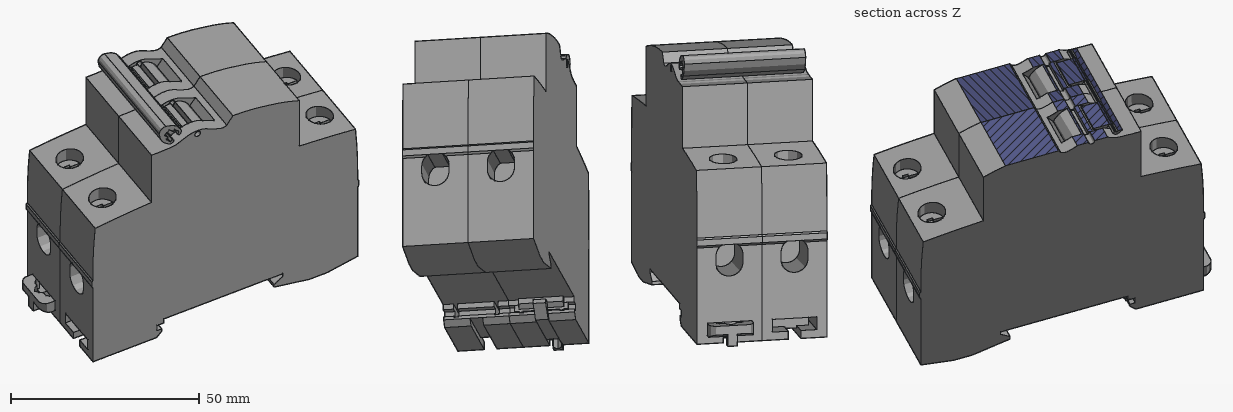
import cadquery as cq
import math


pole_width = 17.7
pole_centres = (-pole_width / 2, pole_width / 2)

body_half_depth = 40.4
body_corner_z = 1.7
flank_top_z = 31.5
shoulder_half_depth = 39.7
shoulder_edge_z = 47.65
shoulder_mid_z = 48.6
tower_half_depth = 22.55
tower_base_z = 49.3
rail_seat_z = 5.7

rib_height = 0.3
rib_bottom_z = 26.5
rib_top_z = 29.2
rib_bottom_chamfer = 0.6
rib_top_chamfer = 0.4

hole_radius = 3.7
wire_hole_low_z = 21.95
wire_hole_high_z = 24.0
wire_hole_depth = 10.2
screw_places_y = (-32.5, 33.8)
screw_top_z = 44.6
screw_length = 6.8
screw_slot_width = 1.5
screw_cross_length = 3.0
screw_slot_depth = 0.85

hub_y = -8.5
hub_z = 61.7
hub_radius = 6.0
hub_width = 10.2
pin_hole_y = -8.4
pin_hole_z = 67.6
pin_hole_radius = 0.85
arm_width = 9.0
arm_half_thickness = 1.0
lever_reach = 11.2
lever_angle = math.radians(47)
bar_length = 33.0
bar_tip_u = 4.0
bar_flat_u = -2.9
tee_tip_u = 1.4
tee_shoulder_u = -0.2
tee_lip_u = -2.0
tee_half_width = 1.8

slot_width = 12.1
slot_floor_z = 2.2
pocket_back_y = -body_half_depth + 5.1
clip_arm_width = 1.1
channel_width = 3.4
channel_top_z = 1.6
groove_back_y = -20.85
groove_bottom_z = 2.5
groove_top_z = 4.25
rail_wall_y = -18.8
lip_y = -19.4
clip_head_y = -17.8
key_width = 14.5
key_corner_radius = 1.7
handle_front_y = -44.3
handle_slope_start_y = -42.0
handle_slope_end_z = 3.3
handle_corner_radius = 2.1
tab_width = 2.55
tab_back_y = -42.2
tab_corner_radius = 0.85


def side_prism(points, centre_x, width):
    """Prism across X from a closed (Y, Z) polygon."""
    return cq.Workplane("YZ", origin=(centre_x - width / 2, 0, 0)).polyline(points).close().extrude(width)


def block(x0, x1, y0, y1, z0, z1):
    """Box between two opposite corners."""
    return cq.Workplane("XY").box(x1 - x0, y1 - y0, z1 - z0, centered=False).translate((x0, y0, z0))


def side_cylinder(centre_x, width, y, z, radius):
    """Cylinder with its axis along X."""
    return cq.Workplane("YZ", origin=(centre_x - width / 2, y, z)).circle(radius).extrude(width)


def lever_plane(start_x):
    """Plane at the bar axis: local x points outwards along the lever, local y to its underside."""
    reach_y = lever_reach * math.cos(lever_angle)
    reach_z = lever_reach * math.sin(lever_angle)
    return cq.Plane(
        origin=(start_x, hub_y - reach_y, hub_z + reach_z),
        xDir=(0, -reach_y, reach_z),
        normal=(1, 0, 0),
    )


def housing_profile(start_x):
    """Side outline, going round from the bottom of the -Y end."""
    return (
        cq.Workplane("YZ", origin=(start_x, 0, 0))
        .moveTo(-body_half_depth, 0)
        .lineTo(-body_half_depth, flank_top_z)
        .threePointArc((-40.25, 40.0), (-shoulder_half_depth, shoulder_edge_z))
        .threePointArc((-31.15, shoulder_mid_z), (-tower_half_depth, tower_base_z))
        .lineTo(-tower_half_depth, 66.2)
        .lineTo(-19.8, 66.2)
        .lineTo(-18.4, 66.3)
        .threePointArc((-16.4, 66.4), (-15.0, 66.6))
        .lineTo(-12.0, 68.0)
        .threePointArc((-10.3, 68.6), (-8.5, 68.8))
        .threePointArc((-7.2, 68.7), (-6.0, 68.3))
        .lineTo(-2.9, 66.9)
        .lineTo(-1.45, 66.4)
        .threePointArc((-0.4, 66.4), (0.4, 66.7))
        .lineTo(2.3, 69.3)
        .lineTo(3.0, 69.3)
        .threePointArc((8.2, 68.9), (13.4, 68.1))
        .threePointArc((18.1, 67.1), (tower_half_depth, 65.6))
        .lineTo(tower_half_depth, tower_base_z)
        .threePointArc((31.15, shoulder_mid_z), (shoulder_half_depth, shoulder_edge_z))
        .threePointArc((40.25, 40.0), (body_half_depth, flank_top_z))
        .lineTo(body_half_depth, body_corner_z)
        .lineTo(31.1, 0)
        .lineTo(25.7, 0)
        .lineTo(14.9, 2.0)
        .lineTo(14.9, 3.0)
        .lineTo(17.6, 4.85)
        .lineTo(17.6, rail_seat_z)
        .lineTo(rail_wall_y, rail_seat_z)
        .lineTo(rail_wall_y, groove_top_z)
        .lineTo(groove_back_y, groove_top_z)
        .lineTo(groove_back_y, groove_bottom_z)
        .lineTo(lip_y, groove_bottom_z)
        .lineTo(lip_y, channel_top_z)
        .lineTo(-21.0, 0)
        .close()
    )


def end_rib(centre_x, end):
    """Chamfered rib on one end face; end is -1 or +1."""
    inner = end * (body_half_depth - 0.85)
    face = end * body_half_depth
    crest = end * (body_half_depth + rib_height)
    points = [
        (inner, rib_bottom_z),
        (face, rib_bottom_z),
        (crest, rib_bottom_z + rib_bottom_chamfer),
        (crest, rib_top_z - rib_top_chamfer),
        (face, rib_top_z),
        (inner, rib_top_z),
    ]
    return side_prism(points, centre_x, pole_width)


def wire_hole(centre_x, end):
    """Round-ended wire opening, cut off flat under the crest of the rib."""
    outer_y = end * (body_half_depth + 0.85)
    length = wire_hole_depth + 0.85
    span = wire_hole_high_z - wire_hole_low_z
    tunnel = (
        cq.Workplane("XZ", origin=(centre_x, outer_y, (wire_hole_low_z + wire_hole_high_z) / 2))
        .slot2D(span + 2 * hole_radius, 2 * hole_radius, 90)
        .extrude(end * length)
    )
    below_crest = block(
        centre_x - hole_radius, centre_x + hole_radius,
        -2 * body_half_depth, 2 * body_half_depth,
        0, rib_bottom_z + rib_bottom_chamfer,
    )
    return tunnel.intersect(below_crest)


def screw_well(centre_x, y):
    """Round bore that holds a terminal screw, open at the shoulder."""
    bottom_z = screw_top_z - screw_length
    return (
        cq.Workplane("XY", origin=(centre_x, y, bottom_z))
        .circle(hole_radius)
        .extrude(tower_base_z - bottom_z)
    )


def lever_recess(centre_x):
    """Opening in the dome for the lever hub and arm."""
    opening = [(-1.2, 69.8), (-1.2, 66.4), (-3.0, 64.2), (-14.0, 64.2), (-15.7, 66.2), (-15.7, 69.8)]
    hub_seat = side_cylinder(centre_x, hub_width, hub_y, hub_z, hub_radius)
    return side_prism(opening, centre_x, hub_width).union(hub_seat)


def clip_slots(centre_x):
    """Front pocket, two arm slots and the bottom channel for the rail clip."""
    front_y = -body_half_depth - 0.85
    half = slot_width / 2
    half_channel = channel_width / 2
    cut = block(centre_x - half, centre_x + half, front_y, pocket_back_y, slot_floor_z, rail_seat_z)
    cut = cut.union(
        block(centre_x - half_channel, centre_x + half_channel, front_y, pocket_back_y, 0, slot_floor_z)
    )
    cut = cut.union(
        block(centre_x - half_channel, centre_x + half_channel, pocket_back_y, rail_wall_y, 0, channel_top_z)
    )
    for left in (-half, half - clip_arm_width):
        x0 = centre_x + left
        cut = cut.union(
            block(x0, x0 + clip_arm_width, pocket_back_y, rail_wall_y, slot_floor_z, rail_seat_z)
        )
    return cut


def make_housing(centre_x):
    housing = housing_profile(centre_x - pole_width / 2).extrude(pole_width)
    for end in (-1, 1):
        housing = housing.union(end_rib(centre_x, end)).cut(wire_hole(centre_x, end))
    for y in screw_places_y:
        housing = housing.cut(screw_well(centre_x, y))
    housing = housing.cut(lever_recess(centre_x))
    housing = housing.cut(side_cylinder(centre_x, pole_width, pin_hole_y, pin_hole_z, pin_hole_radius))
    return housing.cut(clip_slots(centre_x))


def make_screw(centre_x, y):
    """Cylindrical screw with a long slot crossed by a short one."""
    head = cq.Workplane("XY", origin=(centre_x, y, screw_top_z))
    shank = head.circle(hole_radius).extrude(-screw_length)
    long_slot = head.rect(screw_slot_width, 2 * hole_radius + 0.85).extrude(-screw_slot_depth)
    cross_slot = head.rect(screw_cross_length, screw_slot_width).extrude(-screw_slot_depth)
    return shank.cut(long_slot).cut(cross_slot)


def tee_section(start_x, root_u):
    """Snap-in tee shared by the lever arm and the bar slot, starting at root_u along the lever."""
    thin = arm_half_thickness
    upper_side = [
        (root_u, -thin),
        (tee_lip_u, -thin),
        (tee_lip_u, -tee_half_width),
        (tee_shoulder_u, -tee_half_width),
        (tee_shoulder_u, -thin),
        (tee_tip_u, -thin),
    ]
    lower_side = [(u, -v) for u, v in reversed(upper_side)]
    return cq.Workplane(lever_plane(start_x)).polyline(upper_side + lower_side).close()


def make_lever(centre_x):
    """Round hub with a stop groove, an arm along the lever and a flat-topped root."""
    hub = side_cylinder(centre_x, hub_width, hub_y, hub_z, hub_radius)
    groove = [(-7.5, 69.8), (-7.5, 67.6), (-8.0, 66.3), (-8.85, 66.3), (-8.85, 69.8)]
    arm = tee_section(centre_x - arm_width / 2, -lever_reach).extrude(arm_width)
    root = side_prism(
        [(-10.55, 65.5), (-10.55, 67.4), (-11.7, 68.6), (-13.1, 68.6), (-13.1, 65.5)], centre_x, arm_width
    )
    return hub.union(root).union(arm).cut(side_prism(groove, centre_x, hub_width))


def make_bar():
    """Rounded bar with a narrow flat side and a tee slot along its whole length."""
    start_x = -bar_length / 2
    bar = (
        cq.Workplane(lever_plane(start_x))
        .moveTo(bar_flat_u, -1.4)
        .threePointArc((-2.7, -2.1), (-2.1, -2.55))
        .lineTo(0, -2.9)
        .lineTo(1.7, -2.5)
        .lineTo(3.5, -1.4)
        .threePointArc((bar_tip_u, 0), (3.5, 1.4))
        .lineTo(1.7, 2.5)
        .lineTo(0, 2.9)
        .lineTo(-2.1, 2.55)
        .threePointArc((-2.7, 2.1), (bar_flat_u, 1.4))
        .close()
        .extrude(bar_length)
    )
    slot = tee_section(start_x, bar_flat_u - 0.85).extrude(bar_length)
    return bar.cut(slot)


def clip_handle(centre_x):
    """Rounded pull handle with a notch at the back, a sloped underside and a finger tab."""
    back_y = -body_half_depth + 0.85
    half = slot_width / 2
    handle = (
        block(centre_x - half, centre_x + half, handle_front_y, back_y, slot_floor_z, rail_seat_z)
        .edges("|Z and <Y")
        .fillet(handle_corner_radius)
    )
    notch_half = [(3.7, back_y), (3.7, -40.8), (3.0, -41.45), (1.6, -41.5), (1.1, -42.5)]
    notch = [(centre_x + x, y) for x, y in notch_half]
    notch.append((centre_x, -43.2))
    notch += [(centre_x - x, y) for x, y in reversed(notch_half)]
    underside = [
        (handle_slope_start_y, slot_floor_z),
        (handle_front_y, handle_slope_end_z),
        (handle_front_y, slot_floor_z),
    ]
    handle = handle.cut(side_prism(underside, centre_x, slot_width))
    tab = (
        block(
            centre_x - tab_width / 2, centre_x + tab_width / 2,
            handle_front_y, tab_back_y, 0, handle_slope_end_z,
        )
        .edges("|X and <Z and >Y")
        .fillet(tab_corner_radius)
    )
    notch_cut = cq.Workplane("XY").polyline(notch).close().extrude(rail_seat_z)
    return handle.union(tab).cut(notch_cut)


def clip_head(centre_x):
    """Head across the arms, a key in the housing groove and the hooked nose."""
    plate = side_prism(
        [
            (clip_head_y, rail_seat_z),
            (clip_head_y, groove_top_z),
            (rail_wall_y, 3.1),
            (rail_wall_y, rail_seat_z),
        ],
        centre_x, slot_width,
    )
    key = (
        block(
            centre_x - key_width / 2, centre_x + key_width / 2,
            groove_back_y, rail_wall_y, groove_bottom_z, groove_top_z,
        )
        .edges("|Z and <Y")
        .fillet(key_corner_radius)
    )
    nose = [
        (rail_wall_y, 4.5),
        (-15.9, 4.5),
        (-15.75, 3.4),
        (lip_y, 0),
        (pocket_back_y, 0),
        (pocket_back_y, channel_top_z),
        (lip_y, channel_top_z),
        (rail_wall_y, groove_bottom_z),
    ]
    return plate.union(key).union(side_prism(nose, centre_x, channel_width))


def make_clip(centre_x):
    clip = clip_handle(centre_x).union(clip_head(centre_x))
    half = slot_width / 2
    for left in (-half, half - clip_arm_width):
        x0 = centre_x + left
        clip = clip.union(
            block(x0, x0 + clip_arm_width, -body_half_depth, rail_wall_y, slot_floor_z, rail_seat_z)
        )
    return clip


housings = [make_housing(x) for x in pole_centres]
screws = [make_screw(x, y) for x in pole_centres for y in screw_places_y]
levers = [make_lever(x) for x in pole_centres]
bar = make_bar()
clip = make_clip(pole_centres[0])

bodies = [*housings, *screws, *levers, bar, clip]
result = cq.Compound.makeCompound([body.solids().val() for body in bodies])